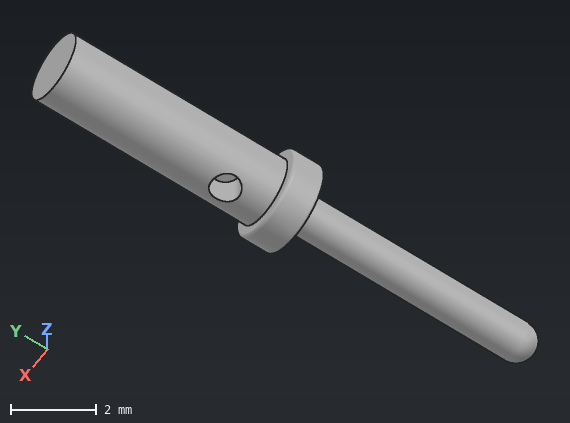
import cadquery as cq

total_length = 13.65
barrel_diameter = 1.8
barrel_length = 6.0
collar_diameter = 2.4
collar_length = 0.86
collar_edge_radius = 0.08
pin_diameter = 1.05
sight_hole_diameter = 0.76
sight_hole_from_end = 4.87

barrel_end = total_length / 2
collar_back = barrel_end - barrel_length
collar_front = collar_back - collar_length
pin_tip = -total_length / 2


def rod(diameter, start, end):
    """Cylinder on the Y axis running from start down to end."""
    return (
        cq.Workplane("XZ", origin=(0, start, 0))
        .circle(diameter / 2)
        .extrude(start - end)
    )


def make_collar():
    """Flange with both rims rounded."""
    return rod(collar_diameter, collar_back, collar_front).edges().fillet(collar_edge_radius)


def make_pin():
    """Contact pin with a hemispherical tip."""
    tip_radius = pin_diameter / 2
    tip_centre = pin_tip + tip_radius
    tip = cq.Workplane("XY").sphere(tip_radius).translate((0, tip_centre, 0))
    return rod(pin_diameter, collar_front, tip_centre).union(tip)


def make_sight_hole():
    """Radial hole from the underside of the barrel to its axis."""
    return (
        cq.Workplane("XY", origin=(0, barrel_end - sight_hole_from_end, 0))
        .circle(sight_hole_diameter / 2)
        .extrude(-barrel_diameter / 2)
    )


barrel = rod(barrel_diameter, barrel_end, collar_back).cut(make_sight_hole())
result = barrel.union(make_collar()).union(make_pin())